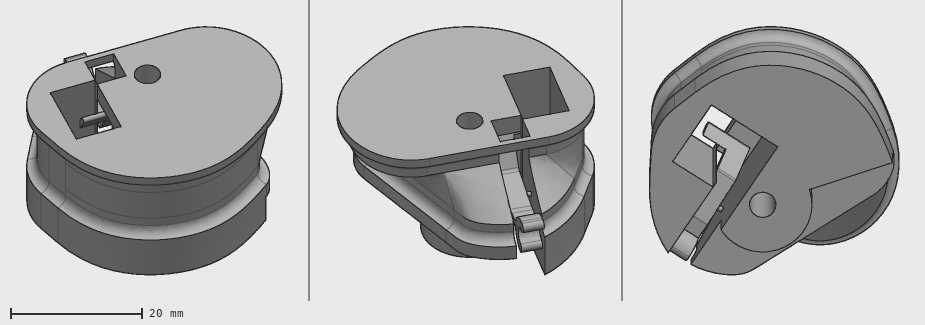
import cadquery as cq
import math


TOTAL_HEIGHT = 20.9
LOWER_DISC_HEIGHT = 7.5
GROOVE_STEP = 1.57
LOWER_BAND_TOP = LOWER_DISC_HEIGHT + 2 * GROOVE_STEP
UPPER_DISC_BOTTOM = TOTAL_HEIGHT - GROOVE_STEP
UPPER_BAND_BOTTOM = UPPER_DISC_BOTTOM - 2 * GROOVE_STEP
GROOVE_INSET = 1.58
INSET_SPANS = 12
COVE_RADIUS = 1.55

CORNER_CENTRE = (-4.55, -9.93)
CORNER_RADIUS = 9.5
FRONT_NORMAL = 250.0
LEFT_NORMAL = 201.8
SLOT_ANGLE = -38.0
FLAT_NORMAL = SLOT_ANGLE + 180.0
FRONT_STRAIGHT = 4.0
LEFT_STRAIGHT = 5.0

MAIN_CURVE = [(4.5, -21.45), (13.5, -17.87), (19.2, -10.85)]
RIGHT_POINT = (20.91, 0.2)
NOSE_CURVE = [(18.6, 8.8), (14.3, 13.07), (7.83, 14.83), (2.85, 13.57)]
FLAT_LENGTH = 18.9
FLAT_SPLIT = 2.7
BACK_START = (16.1, 5.3)
BACK_END = (-3.0, 10.15)
LOBE_CURVE = [(-6.3, 10.83), (-10.4, 9.6), (-14.7, 5.8), (-16.66, -1.9)]

BORE_RADIUS = 2.0
BOSS_RADIUS = 7.5
RELIEF_HEIGHT = 5.0

SLOT_INNER_U = -0.9
SLOT_V = (-7.87, -3.15)
WINDOW_OUTER_U = -6.03
POCKET_U = (-1.8, 8.96)
POCKET_V = (-15.25, -7.9)
DECK_THICKNESS = 3.2
REACH = 40.0

LEVER_V = (-7.2, -3.87)
HOOK_THICKNESS = 1.6
HOOK_CENTRE = (-15.1, 9.0)
HOOK_INNER_RADIUS = 1.55
HOOK_TIP_U = -16.42
HOOK_LOWER_ANGLE = -80.0
BLADE_THICKNESS = 0.9
BLADE_START = (-12.7, 9.2)
BLADE_BEND = (-9.5, 9.2)
ARM_BASE = (-1.87, 10.9)
ARM_TIP = (1.88, 16.9)
HOOK_FILLET = 0.6
BEND_FILLET = 4.0
ARM_FILLET = 0.8
BAR_BASE_U = 0.74
BAR_END_V = -11.4
PIN_U = -6.5
PIN_Z = 9.85
PIN_RADIUS = 0.4
PIN_V = (-8.3, -2.7)


def unit(angle):
    return math.cos(math.radians(angle)), math.sin(math.radians(angle))


def along(point, direction, distance):
    return point[0] + direction[0] * distance, point[1] + direction[1] * distance


def corner_point(normal):
    return along(CORNER_CENTRE, unit(normal), CORNER_RADIUS)


FRONT_START = corner_point(FRONT_NORMAL)
FRONT_DIRECTION = unit(FRONT_NORMAL + 90)
FRONT_END = along(FRONT_START, FRONT_DIRECTION, FRONT_STRAIGHT)
LEFT_END = corner_point(LEFT_NORMAL)
LEFT_DIRECTION = unit(LEFT_NORMAL + 90)
LEFT_START = along(LEFT_END, LEFT_DIRECTION, -LEFT_STRAIGHT)
FLAT_START = corner_point(FLAT_NORMAL)
FLAT_DIRECTION = unit(FLAT_NORMAL + 90)
FLAT_END = along(FLAT_START, FLAT_DIRECTION, -FLAT_LENGTH)
BACK_DIRECTION = (BACK_END[0] - BACK_START[0], BACK_END[1] - BACK_START[1])


def line(start, end):
    return cq.Edge.makeLine(cq.Vector(*start), cq.Vector(*end))


def smooth_spline(points, tangents):
    """Spline whose parameter is the distance along its points, with unit end tangents."""
    distances = [0.0]
    for start, end in zip(points, points[1:]):
        distances.append(distances[-1] + (end - start).Length)
    return cq.Edge.makeSpline(points, tangents=tangents, parameters=distances, scale=False)


def curve(points, start_tangent, end_tangent):
    tangents = [cq.Vector(*start_tangent).normalized(), cq.Vector(*end_tangent).normalized()]
    return smooth_spline([cq.Vector(*p) for p in points], tangents)


def corner_arc(start_normal, end_normal):
    normals = (start_normal, (start_normal + end_normal) / 2, end_normal)
    return cq.Edge.makeThreePointArc(*[cq.Vector(*corner_point(n)) for n in normals])


def shared_edges():
    main_points = [FRONT_END] + MAIN_CURVE + [RIGHT_POINT]
    return [line(FRONT_START, FRONT_END), curve(main_points, FRONT_DIRECTION, (0, 1))]


def lower_outline():
    lobe_points = [BACK_END] + LOBE_CURVE + [LEFT_START]
    edges = shared_edges() + [
        curve([RIGHT_POINT, BACK_START], (0, 1), BACK_DIRECTION),
        line(BACK_START, BACK_END),
        curve(lobe_points, BACK_DIRECTION, LEFT_DIRECTION),
        line(LEFT_START, LEFT_END),
        corner_arc(LEFT_NORMAL, FRONT_NORMAL),
    ]
    return edges


def upper_outline():
    edges = shared_edges() + [
        curve([RIGHT_POINT] + NOSE_CURVE + [FLAT_END], (0, 1), FLAT_DIRECTION),
        line(FLAT_END, FLAT_START),
        corner_arc(FLAT_NORMAL, FRONT_NORMAL),
    ]
    return edges


def upper_outline_split():
    """Upper cam outline with its flat and corner arc split, to match the lower cam edge for edge."""
    split_point = along(FLAT_END, FLAT_DIRECTION, FLAT_SPLIT)
    edges = upper_outline()[:-2] + [
        line(FLAT_END, split_point),
        line(split_point, FLAT_START),
        corner_arc(FLAT_NORMAL, LEFT_NORMAL),
        corner_arc(LEFT_NORMAL, FRONT_NORMAL),
    ]
    return edges


def inset_edge(edge):
    """Copy of a counter-clockwise outline edge moved inwards by the groove depth."""
    fractions = [i / INSET_SPANS for i in range(INSET_SPANS + 1)]
    tangents = [edge.tangentAt(f) for f in fractions]
    inward = [cq.Vector(-t.y, t.x).multiply(GROOVE_INSET) for t in tangents]
    points = [edge.positionAt(f) + shift for f, shift in zip(fractions, inward)]
    if edge.geomType() == "LINE":
        return cq.Edge.makeLine(points[0], points[-1])
    if edge.geomType() == "CIRCLE":
        return cq.Edge.makeThreePointArc(points[0], points[INSET_SPANS // 2], points[-1])
    return smooth_spline(points, [tangents[0], tangents[-1]])


def inset(edges):
    return [inset_edge(edge) for edge in edges]


def prism(edges, bottom, top):
    solid = cq.Solid.extrudeLinear(cq.Wire.assembleEdges(edges), [], cq.Vector(0, 0, top - bottom))
    return cq.Workplane(solid.translate(cq.Vector(0, 0, bottom)))


def flange(disc, band, ledge_height):
    """Join a cam disc and its smaller groove band with a cove along the ledge between them."""
    body = disc.union(band)
    ledge = next(
        face
        for face in body.faces("%PLANE").vals()
        if face.innerWires() and math.isclose(face.Center().z, ledge_height)
    )
    return body.newObject(ledge.innerWires()[0].Edges()).fillet(COVE_RADIUS)


def groove_transition():
    """Groove wall that changes from the lower cam's shape to the upper cam's."""
    bottom = cq.Wire.assembleEdges(inset(lower_outline()))
    top = cq.Wire.assembleEdges(inset(upper_outline_split()))
    sections = [
        bottom.translate(cq.Vector(0, 0, LOWER_BAND_TOP)),
        top.translate(cq.Vector(0, 0, UPPER_BAND_BOTTOM)),
    ]
    return cq.Workplane(cq.Solid.makeLoft(sections, True))


def cam_body():
    lower_disc = prism(lower_outline(), 0, LOWER_DISC_HEIGHT)
    lower_band = prism(inset(lower_outline()), LOWER_DISC_HEIGHT, LOWER_BAND_TOP)
    upper_disc = prism(upper_outline(), UPPER_DISC_BOTTOM, TOTAL_HEIGHT)
    upper_band = prism(inset(upper_outline()), UPPER_BAND_BOTTOM, UPPER_DISC_BOTTOM)
    lower = flange(lower_disc, lower_band, LOWER_DISC_HEIGHT)
    upper = flange(upper_disc, upper_band, UPPER_DISC_BOTTOM)
    return lower.union(groove_transition()).union(upper)


def bottom_relief():
    """Underside clearance round the boss, from the slot to the +X axis."""
    slot_middle = along((0, 0), unit(SLOT_ANGLE + 90), sum(SLOT_V) / 2)
    slot_far = along(slot_middle, unit(SLOT_ANGLE), -REACH)
    relief = (
        cq.Workplane("XY")
        .polyline([slot_middle, (0, 0), (REACH, 0), (REACH, REACH), (-REACH, REACH), slot_far])
        .close()
        .extrude(RELIEF_HEIGHT)
    )
    return relief.cut(cq.Workplane("XY").circle(BOSS_RADIUS).extrude(RELIEF_HEIGHT))


def slot_box(u_range, v_range, z_range):
    """Box given by its ranges in slot coordinates, turned to the direction of the slot."""
    size = [r[1] - r[0] for r in (u_range, v_range, z_range)]
    box = cq.Workplane("XY").box(*size, centered=False)
    return box.translate((u_range[0], v_range[0], z_range[0])).rotate((0, 0, 0), (0, 0, 1), SLOT_ANGLE)


def openings():
    """Lever slot with its window, the pocket with its undercut below the deck, and the bore."""
    slot = slot_box((-REACH, SLOT_INNER_U), SLOT_V, (0, UPPER_DISC_BOTTOM))
    window = slot_box((WINDOW_OUTER_U, SLOT_INNER_U), SLOT_V, (0, TOTAL_HEIGHT))
    pocket = slot_box(POCKET_U, POCKET_V, (0, TOTAL_HEIGHT))
    undercut_v = (POCKET_V[1], SLOT_V[1])
    undercut = slot_box((SLOT_INNER_U, POCKET_U[1]), undercut_v, (0, TOTAL_HEIGHT - DECK_THICKNESS))
    bore = cq.Workplane("XY").circle(BORE_RADIUS).extrude(TOTAL_HEIGHT)
    return slot.union(window).union(pocket).union(undercut).union(bore)


def extrude_across(profile, v_range):
    """Extrude a profile drawn in the (u, Z) plane over a range of v, still in slot coordinates."""
    return profile.extrude(v_range[0] - v_range[1]).translate((0, v_range[0], 0))


def hook():
    """C-shaped hook, open outwards, with rounded tips."""
    outer_radius = HOOK_INNER_RADIUS + HOOK_THICKNESS
    tip_radius = HOOK_THICKNESS / 2
    middle_radius = HOOK_INNER_RADIUS + tip_radius
    u, z = HOOK_CENTRE
    upper_tip_u = HOOK_TIP_U + tip_radius
    lower_direction = unit(HOOK_LOWER_ANGLE)
    lower_tip_centre = along(HOOK_CENTRE, lower_direction, middle_radius)
    lower_tip = along(lower_tip_centre, unit(HOOK_LOWER_ANGLE - 90), tip_radius)
    return (
        cq.Workplane("XZ")
        .moveTo(upper_tip_u, z + outer_radius)
        .lineTo(u, z + outer_radius)
        .threePointArc((u + outer_radius, z), along(HOOK_CENTRE, lower_direction, outer_radius))
        .threePointArc(lower_tip, along(HOOK_CENTRE, lower_direction, HOOK_INNER_RADIUS))
        .threePointArc((u + HOOK_INNER_RADIUS, z), (u, z + HOOK_INNER_RADIUS))
        .lineTo(upper_tip_u, z + HOOK_INNER_RADIUS)
        .threePointArc((HOOK_TIP_U, z + middle_radius), (upper_tip_u, z + outer_radius))
        .close()
    )


def blade_segment(start, end, v_range):
    """Straight piece of the blade with round ends."""
    length = math.dist(start, end)
    angle = math.degrees(math.atan2(end[1] - start[1], end[0] - start[0]))
    middle = ((start[0] + end[0]) / 2, (start[1] + end[1]) / 2)
    profile = cq.Workplane("XZ").center(*middle).slot2D(length + BLADE_THICKNESS, BLADE_THICKNESS, angle)
    return extrude_across(profile, v_range)


def tip_bar():
    """Top of the arm, carried on sideways into the pocket."""
    bar = blade_segment(ARM_BASE, ARM_TIP, (BAR_END_V, LEVER_V[1]))
    base = cq.Workplane("XY").box(REACH, REACH, REACH).translate((BAR_BASE_U - REACH / 2, 0, 0))
    return bar.cut(base)


def lever():
    """Spring lever with hook, blade, tip bar and the pin that carries it in the slot."""
    body = extrude_across(hook(), LEVER_V)
    blade_points = [BLADE_START, BLADE_BEND, ARM_BASE, ARM_TIP]
    for start, end in zip(blade_points, blade_points[1:]):
        body = body.union(blade_segment(start, end, LEVER_V))
    blade_top = BLADE_START[1] + BLADE_THICKNESS / 2
    hook_outer = HOOK_INNER_RADIUS + HOOK_THICKNESS
    hook_joint_u = HOOK_CENTRE[0] + math.sqrt(hook_outer**2 - (blade_top - HOOK_CENTRE[1]) ** 2)
    middle_v = sum(LEVER_V) / 2
    fillets = [
        ((hook_joint_u, blade_top), HOOK_FILLET),
        ((BLADE_BEND[0], BLADE_BEND[1] + BLADE_THICKNESS / 2), BEND_FILLET),
        ((ARM_BASE[0], ARM_BASE[1] + BLADE_THICKNESS / 2), ARM_FILLET),
    ]
    for (u, z), radius in fillets:
        body = body.edges("|Y").edges(cq.NearestToPointSelector((u, middle_v, z))).fillet(radius)
    pin = extrude_across(cq.Workplane("XZ").center(PIN_U, PIN_Z).circle(PIN_RADIUS), PIN_V)
    return body.union(tip_bar()).union(pin).rotate((0, 0, 0), (0, 0, 1), SLOT_ANGLE)


result = cam_body().cut(bottom_relief()).cut(openings()).union(lever())